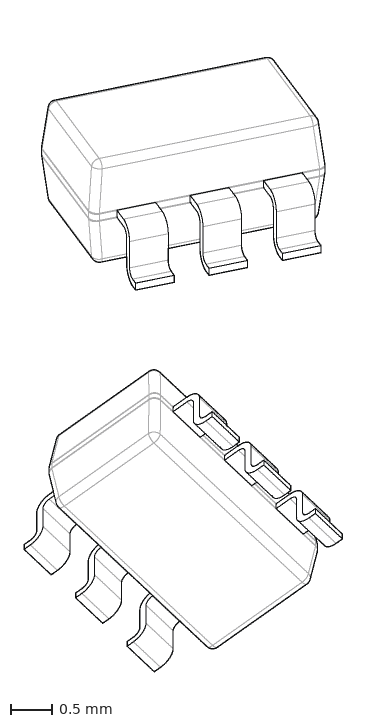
import cadquery as cq

BODY_WIDTH = 1.75
BODY_LENGTH = 3.05
BODY_HEIGHT = 1.45
DRAFT_ANGLE = 6.0
BODY_EDGE_RADIUS = 0.1

LEAD_SPAN = 3.0
LEAD_THICKNESS = 0.1
LEAD_WIDTH = 0.5
LEAD_PITCH = 0.95
LEADS_PER_SIDE = 3
INNER_BEND_RADIUS = LEAD_THICKNESS
FOOT_LENGTH = LEAD_THICKNESS

OUTER_BEND_RADIUS = INNER_BEND_RADIUS + LEAD_THICKNESS
BAND_BOTTOM = (BODY_HEIGHT - LEAD_THICKNESS) / 2
BAND_TOP = BAND_BOTTOM + LEAD_THICKNESS
BODY_SIDE = BODY_WIDTH / 2
LEAD_TIP = LEAD_SPAN / 2


def make_body():
    """Moulded body: a straight waist band with drafted halves, all edges rounded."""
    band = (
        cq.Workplane("XY")
        .workplane(offset=BAND_BOTTOM)
        .rect(BODY_WIDTH, BODY_LENGTH)
        .extrude(LEAD_THICKNESS)
    )
    half_height = BODY_HEIGHT - BAND_TOP
    upper_half = (
        cq.Workplane("XY")
        .workplane(offset=BAND_TOP)
        .rect(BODY_WIDTH, BODY_LENGTH)
        .extrude(half_height, taper=DRAFT_ANGLE)
    )
    lower_half = upper_half.mirror("XY", (0, 0, BODY_HEIGHT / 2))
    return band.union(upper_half).union(lower_half).edges().fillet(BODY_EDGE_RADIUS)


def make_lead(side, y_center):
    """Gull-wing lead that butts against the waist band; side is +1 for +X and -1 for -X."""
    foot_start = LEAD_TIP - FOOT_LENGTH
    leg_inner = foot_start - OUTER_BEND_RADIUS
    leg_outer = leg_inner + LEAD_THICKNESS
    shoulder_end = leg_outer - OUTER_BEND_RADIUS
    upper_bend_z = BAND_TOP - OUTER_BEND_RADIUS
    lower_bend_z = OUTER_BEND_RADIUS

    profile = (
        cq.Workplane("XZ", origin=(0, y_center, 0))
        .moveTo(BODY_SIDE, BAND_TOP)
        .lineTo(shoulder_end, BAND_TOP)
        .radiusArc((leg_outer, upper_bend_z), OUTER_BEND_RADIUS)
        .lineTo(leg_outer, lower_bend_z)
        .radiusArc((foot_start, LEAD_THICKNESS), -INNER_BEND_RADIUS)
        .lineTo(LEAD_TIP, LEAD_THICKNESS)
        .lineTo(LEAD_TIP, 0)
        .lineTo(foot_start, 0)
        .radiusArc((leg_inner, lower_bend_z), OUTER_BEND_RADIUS)
        .lineTo(leg_inner, upper_bend_z)
        .radiusArc((shoulder_end, BAND_BOTTOM), -INNER_BEND_RADIUS)
        .lineTo(BODY_SIDE, BAND_BOTTOM)
        .close()
    )
    lead = profile.extrude(LEAD_WIDTH / 2, both=True)
    if side < 0:
        lead = lead.mirror("YZ")
    return lead


body = make_body()

leads = []
for side in (-1, 1):
    for index in range(LEADS_PER_SIDE):
        y_center = (index - (LEADS_PER_SIDE - 1) / 2) * LEAD_PITCH
        leads.append(make_lead(side, y_center).val())

result = cq.Compound.makeCompound([body.val(), *leads])